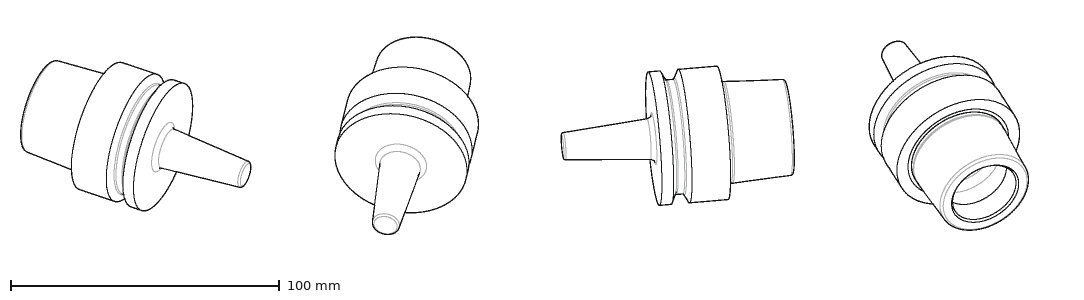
import cadquery as cq
import math

overall_length = 84.9

shank_end_radius = 18.0
shank_taper_start = 0.85
shank_taper_end = 22.75
shank_taper_ratio = 0.05
mouth_fillet = 0.9
relief_start = 23.4
collar_radius = 19.0

flange_diameter = 50.0
flange_radius = flange_diameter / 2
flange_start = 24.9
flange_end = 50.7
groove_start = 39.4
groove_floor_start = 41.3
groove_floor_end = 44.6
groove_end = 46.3
groove_floor_radius = 21.5
groove_fillet = 0.7

undercut_radius = 0.8
undercut_center = 24.5

nose_root_radius = 7.8
nose_tip_radius = 5.1
nose_root_fillet = 2.0
nose_tip_fillet = 0.8

mouth_chamfer = 0.8
bore_radius = 12.9
lip_depth = 9.7
clamp_cone_angle = 60.0
chamber_radius = 14.4
chamber_depth = 21.5
chamber_floor_fillet = 2.8
pocket_radius = 8.2
pocket_chamfer = 0.2
pocket_depth = 26.3
pocket_floor_radius = 7.0

LENGTH_TOLERANCE = 0.01


def revolve_about_x(profile):
    return profile.close().revolve(360, (0, 0, 0), (1, 0, 0))


def circle_edges(body, station, radius):
    """Select the circular edges of one radius around X at one station."""
    reach = radius + LENGTH_TOLERANCE
    inner_reach = radius - LENGTH_TOLERANCE
    half = LENGTH_TOLERANCE
    edges = body.edges(cq.selectors.BoxSelector(
        (station - half, -reach, -reach), (station + half, reach, reach), boundingbox=True))
    return edges.filter(lambda edge: edge.geomType() == "CIRCLE" and edge.radius() > inner_reach)


def make_outer_body():
    taper_length = shank_taper_end - shank_taper_start
    taper_end_radius = shank_end_radius + shank_taper_ratio * taper_length
    mouth_radius = shank_end_radius - shank_taper_ratio * shank_taper_start
    body = revolve_about_x(
        cq.Workplane("XY")
        .moveTo(0, 0)
        .lineTo(0, mouth_radius)
        .lineTo(shank_taper_end, taper_end_radius)
        .lineTo(relief_start, collar_radius)
        .lineTo(flange_start, collar_radius)
        .lineTo(flange_start, flange_radius)
        .lineTo(groove_start, flange_radius)
        .lineTo(groove_floor_start, groove_floor_radius)
        .lineTo(groove_floor_end, groove_floor_radius)
        .lineTo(groove_end, flange_radius)
        .lineTo(flange_end, flange_radius)
        .lineTo(flange_end, nose_root_radius)
        .lineTo(overall_length, nose_tip_radius)
        .lineTo(overall_length, 0)
    )
    rounded_edges = [
        (0, mouth_radius, mouth_fillet),
        (groove_floor_start, groove_floor_radius, groove_fillet),
        (groove_floor_end, groove_floor_radius, groove_fillet),
        (flange_end, nose_root_radius, nose_root_fillet),
        (overall_length, nose_tip_radius, nose_tip_fillet),
    ]
    for station, radius, fillet in rounded_edges:
        body = circle_edges(body, station, radius).fillet(fillet)
    return body


def make_undercut():
    center_radius = collar_radius + undercut_radius
    face_offset = flange_start - undercut_center
    outer_radius = center_radius + math.sqrt(undercut_radius**2 - face_offset**2)
    return revolve_about_x(
        cq.Workplane("XY")
        .moveTo(undercut_center, collar_radius)
        .threePointArc((undercut_center + undercut_radius, center_radius), (flange_start, outer_radius))
        .lineTo(undercut_center, outer_radius)
    )


def make_bore():
    clamp_cone_length = (chamber_radius - bore_radius) / math.tan(math.radians(clamp_cone_angle))
    pocket_cone_start = pocket_depth - (pocket_radius - pocket_chamfer - pocket_floor_radius)
    bore = revolve_about_x(
        cq.Workplane("XY")
        .moveTo(0, 0)
        .lineTo(0, bore_radius + mouth_chamfer)
        .lineTo(mouth_chamfer, bore_radius)
        .lineTo(lip_depth, bore_radius)
        .lineTo(lip_depth + clamp_cone_length, chamber_radius)
        .lineTo(chamber_depth, chamber_radius)
        .lineTo(chamber_depth, pocket_radius)
        .lineTo(chamber_depth + pocket_chamfer, pocket_radius - pocket_chamfer)
        .lineTo(pocket_cone_start, pocket_radius - pocket_chamfer)
        .lineTo(pocket_depth, pocket_floor_radius)
        .lineTo(pocket_depth, 0)
    )
    return circle_edges(bore, chamber_depth, chamber_radius).fillet(chamber_floor_fillet)


result = make_outer_body().cut(make_undercut()).cut(make_bore())